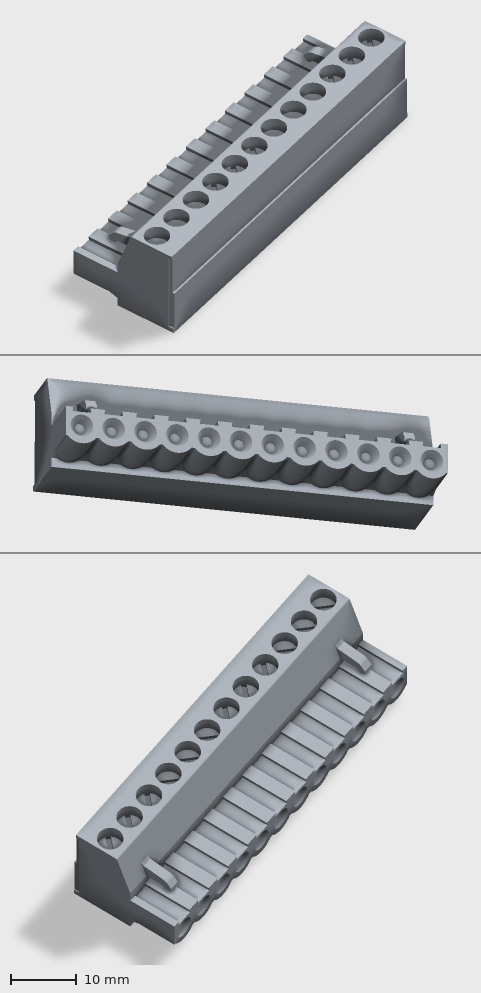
import cadquery as cq

LENGTH = 60.0
WIDTH = 18.85
HEIGHT = 15.5

POLE_COUNT = 12
PITCH = LENGTH / POLE_COUNT
POLE_POSITIONS = [(i + 0.5 - POLE_COUNT / 2) * PITCH for i in range(POLE_COUNT)]

HOUSING_FRONT = 8.3
SLOPE_START_HEIGHT = 8.6
TOP_FRONT = 10.8
TOP_EDGE_RADIUS = 0.3
UPPER_BACK = 18.5
BACK_STEP_HEIGHT = 8.0

NOSE_TOP = 6.8
NOSE_BOTTOM = 0.95
CONTACT_HEIGHT = 3.85
SCALLOP_RADIUS = CONTACT_HEIGHT - NOSE_BOTTOM
VALLEY_HEIGHT = 2.05
VALLEY_END_HEIGHT = 1.5
VALLEY_RAMP_LENGTH = 1.55

KEYWAY_DEPTH = 0.7
KEYWAY_TOP_WIDTH = 2.7
KEYWAY_FLOOR_WIDTH = 2.95

CONTACT_MOUTH_DIAMETER = 3.55
CONTACT_INNER_DIAMETER = 1.6
CONTACT_DEPTH = 1.5

SCREW_X = 13.85
WELL_DIAMETER = 4.0
WELL_DEPTH = 2.3
SCREW_SLOT_WIDTH = 0.85
SCREW_SLOT_DEPTH = 0.6
SCREW_SLOT_ANGLE = 45
SLOT_GROUP_SIZE = 3

LATCH_WIDTH = 1.7
LATCH_POSITIONS = (-LENGTH / 2 + PITCH, LENGTH / 2 - PITCH)
LATCH_ROOT_X = 9.6
LATCH_UNDERSIDE = 8.5
LATCH_HOOK_BACK_X = 4.8
LATCH_HOOK_DROP = 0.5
LATCH_HOOK_NOSE = (3.7, 8.3)
LATCH_HOOK_TIP = (3.65, 8.9)
LATCH_BROW_START = (4.5, 9.85)
LATCH_BROW_END = (5.0, 10.1)
LATCH_HEEL_START = (8.8, 10.7)
LATCH_HEEL_END = (9.1, 11.05)

RECESS_FRONT = 17.9
RECESS_BOTTOM = 0.9
RECESS_TOP = 14.75
RECESS_DEPTH = 0.2


def extrude_along_length(profile):
    """Extrude an XZ profile symmetrically over the full length."""
    return profile.extrude(LENGTH / 2, both=True)


def make_housing():
    profile = (
        cq.Workplane("XZ")
        .moveTo(HOUSING_FRONT, 0)
        .lineTo(WIDTH, 0)
        .lineTo(WIDTH, BACK_STEP_HEIGHT)
        .lineTo(UPPER_BACK, BACK_STEP_HEIGHT)
        .lineTo(UPPER_BACK, HEIGHT)
        .lineTo(TOP_FRONT, HEIGHT)
        .lineTo(HOUSING_FRONT, SLOPE_START_HEIGHT)
        .close()
    )
    top_edge = cq.selectors.NearestToPointSelector((TOP_FRONT, 0, HEIGHT))
    return extrude_along_length(profile).edges(top_edge).fillet(TOP_EDGE_RADIUS)


def make_nose():
    ramp_start = HOUSING_FRONT - VALLEY_RAMP_LENGTH
    nose = extrude_along_length(
        cq.Workplane("XZ")
        .moveTo(0, VALLEY_HEIGHT)
        .lineTo(ramp_start, VALLEY_HEIGHT)
        .lineTo(HOUSING_FRONT, VALLEY_END_HEIGHT)
        .lineTo(HOUSING_FRONT, NOSE_TOP)
        .lineTo(0, NOSE_TOP)
        .close()
    )
    for y in POLE_POSITIONS:
        sleeve = (
            cq.Workplane("YZ", origin=(0, y, CONTACT_HEIGHT))
            .circle(SCALLOP_RADIUS)
            .extrude(HOUSING_FRONT)
        )
        nose = nose.union(sleeve)
    envelope = cq.Workplane("XY").box(HOUSING_FRONT, LENGTH, NOSE_TOP, centered=(False, True, False))
    return nose.intersect(envelope)


def make_keyways():
    floor = NOSE_TOP - KEYWAY_DEPTH
    keyways = cq.Workplane("YZ")
    for y in POLE_POSITIONS:
        keyways = (
            keyways.moveTo(y - KEYWAY_FLOOR_WIDTH / 2, floor)
            .lineTo(y + KEYWAY_FLOOR_WIDTH / 2, floor)
            .lineTo(y + KEYWAY_TOP_WIDTH / 2, NOSE_TOP)
            .lineTo(y - KEYWAY_TOP_WIDTH / 2, NOSE_TOP)
            .close()
        )
    return keyways.extrude(HOUSING_FRONT)


def make_contact_opening(y):
    return cq.Workplane(
        cq.Solid.makeCone(
            CONTACT_MOUTH_DIAMETER / 2,
            CONTACT_INNER_DIAMETER / 2,
            CONTACT_DEPTH,
            pnt=cq.Vector(0, y, CONTACT_HEIGHT),
            dir=cq.Vector(1, 0, 0),
        )
    )


def make_screw_wells():
    screw_top = HEIGHT - WELL_DEPTH
    wells = (
        cq.Workplane("XY", origin=(SCREW_X, 0, screw_top))
        .pushPoints([(0, y) for y in POLE_POSITIONS])
        .circle(WELL_DIAMETER / 2)
        .extrude(WELL_DEPTH)
    )
    for index, y in enumerate(POLE_POSITIONS):
        is_reversed = (index // SLOT_GROUP_SIZE) % 2 == 1
        angle = -SCREW_SLOT_ANGLE if is_reversed else SCREW_SLOT_ANGLE
        head = (
            cq.Workplane("XY", origin=(SCREW_X, y, screw_top))
            .circle(WELL_DIAMETER / 2)
            .extrude(-SCREW_SLOT_DEPTH)
        )
        slot = (
            cq.Workplane("XY", origin=(SCREW_X, y, screw_top))
            .transformed(rotate=(0, 0, angle))
            .rect(WELL_DIAMETER, SCREW_SLOT_WIDTH)
            .extrude(-SCREW_SLOT_DEPTH)
        )
        wells = wells.union(slot.intersect(head))
    return wells


def make_latch(y):
    """Hooked arm whose root is buried in the sloped front."""
    return (
        cq.Workplane("XZ", origin=(0, y, 0))
        .moveTo(LATCH_ROOT_X, LATCH_UNDERSIDE)
        .lineTo(LATCH_HOOK_BACK_X + LATCH_HOOK_DROP, LATCH_UNDERSIDE)
        .lineTo(LATCH_HOOK_BACK_X, LATCH_UNDERSIDE - LATCH_HOOK_DROP)
        .threePointArc(LATCH_HOOK_NOSE, LATCH_HOOK_TIP)
        .lineTo(*LATCH_BROW_START)
        .lineTo(*LATCH_BROW_END)
        .lineTo(*LATCH_HEEL_START)
        .lineTo(*LATCH_HEEL_END)
        .lineTo(LATCH_ROOT_X, LATCH_HEEL_END[1])
        .close()
        .extrude(LATCH_WIDTH / 2, both=True)
    )


def make_end_recess():
    """Recess in the -Y end face, open to the rear, with 45 degree front and top edges."""
    outer_y = -LENGTH / 2
    inner_y = outer_y + RECESS_DEPTH
    front_bevel = (
        cq.Workplane("XY", origin=(0, 0, RECESS_BOTTOM))
        .moveTo(RECESS_FRONT, outer_y)
        .lineTo(WIDTH, outer_y)
        .lineTo(WIDTH, inner_y)
        .lineTo(RECESS_FRONT + RECESS_DEPTH, inner_y)
        .close()
        .extrude(RECESS_TOP - RECESS_BOTTOM)
    )
    top_bevel = (
        cq.Workplane("YZ", origin=(RECESS_FRONT, 0, 0))
        .moveTo(outer_y, RECESS_BOTTOM)
        .lineTo(outer_y, RECESS_TOP)
        .lineTo(inner_y, RECESS_TOP - RECESS_DEPTH)
        .lineTo(inner_y, RECESS_BOTTOM)
        .close()
        .extrude(WIDTH - RECESS_FRONT)
    )
    return front_bevel.intersect(top_bevel)


end_recess = make_end_recess()
result = make_housing().union(make_nose())
result = result.cut(make_keyways())
result = result.cut(make_screw_wells())
result = result.cut(end_recess)
result = result.cut(end_recess.mirror("XZ"))
for pole_y in POLE_POSITIONS:
    result = result.cut(make_contact_opening(pole_y))
for latch_y in LATCH_POSITIONS:
    result = result.union(make_latch(latch_y))